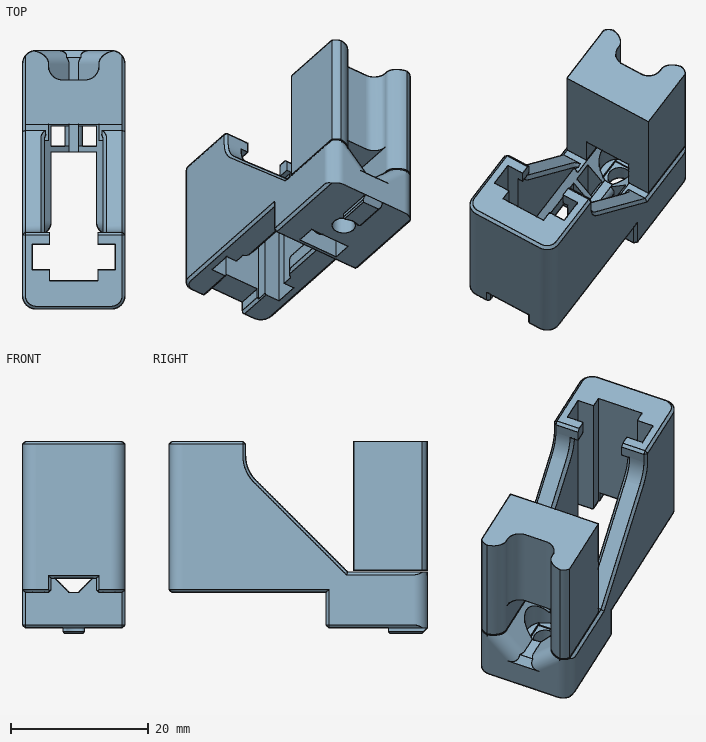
import cadquery as cq
import math

WIDTH = 15.0
LENGTH = 37.75
HEIGHT = 28.0
HALF_WIDTH = WIDTH / 2
CORNER_RADIUS = 2.0
EDGE_CHAMFER = 0.4
OVERSHOOT = 1.9

TAB_HEIGHT = 0.8
BASE_BOTTOM = TAB_HEIGHT
BASE_TOP = 8.95
BASE_FRONT = 22.92
TOWER_BOTTOM = 5.95
TOWER_BACK = 11.2
RAMP_START = 26.1
RAMP_RADIUS = 5.0
RAMP_SUM = RAMP_START + BASE_TOP
RAMP_ANGLE = math.radians(45)
ARC_RISE = RAMP_RADIUS * math.tan(RAMP_ANGLE / 2)
ARC_TOP = RAMP_SUM - TOWER_BACK + ARC_RISE
ARC_DROP = RAMP_RADIUS * (1 - math.cos(RAMP_ANGLE))
ARC_MIDDLE_Y = TOWER_BACK + RAMP_RADIUS * (1 - math.cos(RAMP_ANGLE / 2))
ARC_MIDDLE_Z = ARC_TOP - RAMP_RADIUS * math.sin(RAMP_ANGLE / 2)
ARC_END_Y = TOWER_BACK + ARC_DROP
ARC_END_Z = RAMP_SUM - ARC_END_Y

GROOVE_FLOOR = TOWER_BOTTOM
GROOVE_FLOOR_HALF = 0.68
GROOVE_MOUTH_HALF = GROOVE_FLOOR_HALF + BASE_TOP - GROOVE_FLOOR
GROOVE_FLOOR_CHAMFER = 1.02

CHANNEL_HALF = 4.3
CHANNEL_STEP_Z = GROOVE_FLOOR + CHANNEL_HALF - GROOVE_FLOOR_HALF
CHANNEL_FRONT = 10.8
CHANNEL_BACK_RADIUS = 1.47
CHANNEL_CHAMFER = 0.5
SLOT_HALF = 3.3
FRONT_SLOT_TOP = 8.0

POCKET_HALF = 6.05
POCKET_FRONT = 5.78
POCKET_BACK = 9.45
POCKET_NECK_HALF = 3.5
POCKET_NECK_FRONT = 4.15

TIE_FRONT = 23.8
TIE_BACK = 26.75
TIE_BAR_RADIUS = 1.3

SCREW_Y = 30.2
SCREW_DIAMETER = 3.4
SCREW_HEAD_DIAMETER = 6.0
SCREW_SEAT_Z = 3.93
SCREW_STEP_HALF = 2.0
SCREW_STEP = 0.2
TAB_HALF = 1.6
TAB_HOLLOW_RADIUS = 2.1
TAB_CORNER_RADIUS = 0.4
TAB_EDGE_CHAMFER = 0.23

BLOCK_GAP = 0.23
BLOCK_BOTTOM = BASE_TOP + BLOCK_GAP
BLOCK_FRONT = 26.95
BLOCK_NOTCH_FRONT = 33.45
BLOCK_NOTCH_RADIUS = 2.0
BLOCK_TUNNEL_TOP = 13.97


def box(x_half, y_min, y_max, z_min, z_max):
    """Box that is symmetric about the YZ plane."""
    size = (2 * x_half, y_max - y_min, z_max - z_min)
    return cq.Workplane("XY").box(*size, centered=(True, False, False)).translate((0, y_min, z_min))


def along_x(outline):
    """Extrude a closed YZ outline across the full width."""
    return outline.close().extrude(HALF_WIDTH, both=True)


def along_y(points, y_min, y_max):
    """Extrude an XZ polygon from y_min to y_max."""
    return cq.Workplane("XZ", origin=(0, y_min, 0)).polyline(points).close().extrude(y_min - y_max)


def upright_cylinder(diameter, z_min, z_max):
    """Vertical cylinder on the screw axis."""
    base = cq.Workplane("XY", origin=(0, SCREW_Y, z_min))
    return base.circle(diameter / 2).extrude(z_max - z_min)


def rear_rounding():
    """Envelope with rounded rear corners, shared by the housing and the block."""
    body = box(HALF_WIDTH, -OVERSHOOT, LENGTH, -OVERSHOOT, HEIGHT + OVERSHOOT)
    return body.edges("|Z and >Y").fillet(CORNER_RADIUS)


def housing_shell():
    """Side outline extruded across the width, with rounded corners and chamfered outer edges."""
    shell = along_x(
        cq.Workplane("YZ")
        .moveTo(0, TOWER_BOTTOM)
        .lineTo(0, HEIGHT)
        .lineTo(TOWER_BACK, HEIGHT)
        .lineTo(TOWER_BACK, ARC_TOP)
        .threePointArc((ARC_MIDDLE_Y, ARC_MIDDLE_Z), (ARC_END_Y, ARC_END_Z))
        .lineTo(RAMP_START, BASE_TOP)
        .lineTo(LENGTH, BASE_TOP)
        .lineTo(LENGTH, BASE_BOTTOM)
        .lineTo(BASE_FRONT, BASE_BOTTOM)
        .lineTo(BASE_FRONT, TOWER_BOTTOM)
    )
    shell = shell.edges("|Z and <Y").fillet(CORNER_RADIUS)
    side_edges = shell.faces("<X or >X").edges("not (|Z and (<Y or >Y))")
    top_back_edge = shell.faces(">Z").edges(">Y")
    base_front_edge = shell.faces("<Z").edges("<Y")
    rim = side_edges.add(top_back_edge).add(base_front_edge)
    return rim.chamfer(EDGE_CHAMFER).intersect(rear_rounding())


def cut_channel(body):
    """Open the space between the arms and chamfer its edges along the ramp."""
    room = box(CHANNEL_HALF, POCKET_FRONT, RAMP_START, BASE_TOP, ARC_TOP)
    body = body.cut(room.edges("|Z and >Y").fillet(CHANNEL_BACK_RADIUS))
    ramp_edges = cq.selectors.BoxSelector(
        (-CHANNEL_HALF - EDGE_CHAMFER, TOWER_BACK + EDGE_CHAMFER, CHANNEL_STEP_Z),
        (CHANNEL_HALF + EDGE_CHAMFER, RAMP_START, ARC_TOP - EDGE_CHAMFER),
    )
    return body.edges(ramp_edges).edges("not |X").chamfer(CHANNEL_CHAMFER)


def flank_ledge(side):
    """Ledge that carries a groove flank up to the upright wall of the channel."""
    section = [
        (side * GROOVE_MOUTH_HALF, BASE_TOP),
        (side * CHANNEL_HALF, BASE_TOP),
        (side * CHANNEL_HALF, CHANNEL_STEP_Z),
    ]
    return along_y(section, CHANNEL_FRONT, RAMP_START - CHANNEL_BACK_RADIUS)


def flank_flare(side, y_tangent, direction):
    """Waste outside a rounded edge where a groove flank runs out into a wall across Y."""
    plane = cq.Plane(
        origin=(side * GROOVE_MOUTH_HALF, y_tangent, BASE_TOP),
        xDir=(side, 0, -1),
        normal=(1, 0, side),
    )
    return flare_waste(plane, direction)


def flare_waste(plane, direction):
    """Sharp corner minus its round: plane x runs into the wall, plane y towards its end."""
    radius = CORNER_RADIUS
    diagonal = radius * math.sqrt(0.5)
    waste = (
        cq.Workplane(plane)
        .lineTo(0, direction * radius)
        .lineTo(radius, direction * radius)
        .threePointArc((radius - diagonal, direction * diagonal), (0, 0))
        .close()
    )
    return waste.extrude(HEIGHT, both=True)


def groove():
    """V groove along the base, flared at the rear end, with a chamfered floor."""
    apex_z = GROOVE_FLOOR - GROOVE_FLOOR_HALF
    wedge = [(0, apex_z), (GROOVE_MOUTH_HALF, BASE_TOP), (-GROOVE_MOUTH_HALF, BASE_TOP)]
    cutter = along_y(wedge, CHANNEL_FRONT, LENGTH)
    for side in (-1, 1):
        cutter = cutter.union(flank_flare(side, LENGTH - CORNER_RADIUS, 1))
    above_floor = along_x(
        cq.Workplane("YZ")
        .moveTo(0, GROOVE_FLOOR)
        .lineTo(LENGTH - GROOVE_FLOOR_CHAMFER, GROOVE_FLOOR)
        .lineTo(LENGTH, GROOVE_FLOOR - GROOVE_FLOOR_CHAMFER)
        .lineTo(LENGTH, BASE_TOP)
        .lineTo(0, BASE_TOP)
    )
    return cutter.intersect(above_floor)


def channel_throat():
    """Lower part of the channel: full width in the tower, flaring in from there to the slot width."""
    narrow = box(SLOT_HALF, CHANNEL_FRONT, BASE_FRONT, TOWER_BOTTOM, BASE_TOP)
    wide = box(CHANNEL_HALF, POCKET_FRONT, CHANNEL_FRONT, TOWER_BOTTOM, CHANNEL_STEP_Z)
    flare_start = CHANNEL_FRONT + CORNER_RADIUS
    limits = box(CHANNEL_HALF, CHANNEL_FRONT, flare_start, TOWER_BOTTOM, CHANNEL_STEP_Z)
    throat = narrow.union(wide)
    for side in (-1, 1):
        wall_plane = cq.Plane(
            origin=(side * SLOT_HALF, flare_start, TOWER_BOTTOM), xDir=(side, 0, 0), normal=(0, 0, side)
        )
        throat = throat.union(flare_waste(wall_plane, -1).intersect(limits))
        throat = throat.union(flank_flare(side, flare_start, -1).intersect(limits))
    return throat


def pocket():
    """Cross shaped pocket through the full height of the tower."""
    cross = box(POCKET_HALF, POCKET_FRONT, POCKET_BACK, 0, HEIGHT)
    neck = box(POCKET_NECK_HALF, POCKET_NECK_FRONT, TOWER_BACK, ARC_TOP, HEIGHT)
    lower_neck = box(POCKET_NECK_HALF, POCKET_NECK_FRONT, POCKET_FRONT, 0, ARC_TOP)
    return cross.union(neck).union(lower_neck)


def front_slot():
    """Slot under the front wall, chamfered at the front face and along the bottom."""
    slot = box(SLOT_HALF, 0, POCKET_NECK_FRONT, 0, FRONT_SLOT_TOP)
    mouth_half = SLOT_HALF + EDGE_CHAMFER
    mouth_top = FRONT_SLOT_TOP + EDGE_CHAMFER
    mouth = (
        cq.Workplane("XZ")
        .center(0, mouth_top / 2)
        .rect(2 * mouth_half, mouth_top)
        .extrude(-EDGE_CHAMFER, taper=45)
    )
    bevel = [
        (-mouth_half, TOWER_BOTTOM),
        (mouth_half, TOWER_BOTTOM),
        (0, TOWER_BOTTOM + mouth_half),
    ]
    lower_edges = along_y(bevel, 0, BASE_FRONT).intersect(
        box(mouth_half, 0, BASE_FRONT, TOWER_BOTTOM, TOWER_BOTTOM + EDGE_CHAMFER)
    )
    return slot.union(mouth).union(lower_edges)


def tie_passage():
    """Upright passage for a cable tie, leaving a round bar under the groove floor."""
    passage = box(SLOT_HALF, TIE_FRONT, TIE_BACK, 0, BASE_TOP)
    bar_axis_z = GROOVE_FLOOR - math.sqrt(TIE_BAR_RADIUS**2 - GROOVE_FLOOR_HALF**2)
    bar = (
        cq.Workplane("XZ", origin=(0, TIE_FRONT, bar_axis_z))
        .circle(TIE_BAR_RADIUS)
        .extrude(TIE_FRONT - TIE_BACK)
    )
    return passage.cut(bar)


def screw_hole():
    """Counterbored screw hole; the seat steps down to the hole over a slot and then a square."""
    half = SCREW_STEP_HALF
    head_radius = SCREW_HEAD_DIAMETER / 2
    slot_z = SCREW_SEAT_Z - SCREW_STEP
    square_z = slot_z - SCREW_STEP
    head = upright_cylinder(SCREW_HEAD_DIAMETER, slot_z, BASE_TOP)
    slot = box(half, SCREW_Y - head_radius, SCREW_Y + head_radius, slot_z, SCREW_SEAT_Z).intersect(head)
    square = box(half, SCREW_Y - half, SCREW_Y + half, square_z, slot_z)
    hole = upright_cylinder(SCREW_DIAMETER, 0, BASE_TOP)
    seat = upright_cylinder(SCREW_HEAD_DIAMETER, SCREW_SEAT_Z, BASE_TOP)
    return hole.union(seat).union(slot).union(square)


def tab():
    """Tab under the base, hollowed around the screw hole and bevelled at the rear."""
    body = box(TAB_HALF, SCREW_Y, LENGTH, 0, TAB_HEIGHT)
    body = body.cut(upright_cylinder(2 * TAB_HOLLOW_RADIUS, 0, TAB_HEIGHT))
    body = body.edges("|Z and <Y").fillet(TAB_CORNER_RADIUS)
    body = body.faces("<Z").edges("not >Y").chamfer(TAB_EDGE_CHAMFER)
    rear_bevel = along_x(
        cq.Workplane("YZ")
        .moveTo(LENGTH, TAB_HEIGHT)
        .lineTo(LENGTH, 0)
        .lineTo(LENGTH - TAB_HEIGHT, 0)
    )
    return body.cut(rear_bevel)


def make_housing():
    """Housing: tower, ramped arms and base with the groove."""
    body = cut_channel(housing_shell())
    for side in (-1, 1):
        body = body.union(flank_ledge(side))
    for cutter in (groove(), channel_throat(), pocket(), front_slot(), tie_passage(), screw_hole()):
        body = body.cut(cutter)
    return body.union(tab())


def make_block():
    """Block above the base: rear notch with rounded edges, and a tunnel along its underside."""
    half = HALF_WIDTH - EDGE_CHAMFER
    block = box(half, BLOCK_FRONT, LENGTH, BLOCK_BOTTOM, HEIGHT).intersect(rear_rounding())
    notch = box(GROOVE_MOUTH_HALF, BLOCK_NOTCH_FRONT, LENGTH, BLOCK_BOTTOM, HEIGHT)
    notch = notch.edges("|Z and <Y").fillet(BLOCK_NOTCH_RADIUS)
    tangent_y = LENGTH - CORNER_RADIUS
    flare_width = CORNER_RADIUS * math.sqrt(2)
    tip_half = GROOVE_MOUTH_HALF + flare_width
    mouth = box(tip_half, tangent_y, LENGTH, BLOCK_BOTTOM, HEIGHT)
    for side in (-1, 1):
        rounded_edge = (
            cq.Workplane("XY", origin=(side * tip_half, tangent_y, BLOCK_BOTTOM))
            .ellipse(flare_width, CORNER_RADIUS)
            .extrude(HEIGHT - BLOCK_BOTTOM)
        )
        mouth = mouth.cut(rounded_edge)
    notch = notch.union(mouth)
    tunnel = box(GROOVE_MOUTH_HALF, BLOCK_FRONT, LENGTH, BLOCK_BOTTOM, BLOCK_TUNNEL_TOP)
    return block.cut(notch).cut(tunnel)


housing = make_housing()
block = make_block()

result = cq.Compound.makeCompound([housing.val(), block.val()])